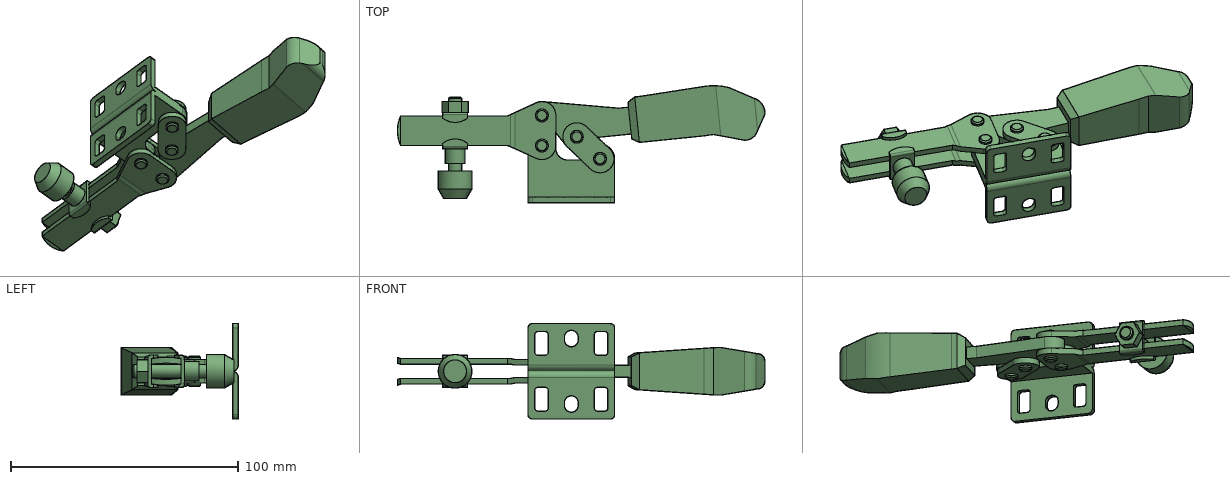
import cadquery as cq
import math


core_thickness = 5.3
core_half = core_thickness / 2
plate = 2.6
pin_diameter = 5.7
pin_radius = pin_diameter / 2
pin_end_height = 1.5
pin_chamfer = 0.6
eye_radius = 6.1
blank_depth = 16.2

arm_lower_pivot = (63.6, 25.2)
arm_upper_pivot = (63.6, 38.5)
link_upper_pivot = (79.0, 29.1)
link_lower_pivot = (89.2, 19.4)

base_left = 57.5
base_right = 95.6
foot_half_width = 21.0
foot_corner = 2.0
web_shoulder = 19.0
web_hollow_radius = 5.2
slot_width = 5.8
slot_length = 10.4
slot_corner = 1.3
slot_inset = 6.0
slot_offset = 12.3
hole_width = 6.0
hole_length = 7.1
hole_offset = 14.4

bar_bottom = 25.2
bar_top = 38.3
bar_end = 48.5
bar_gap_half = 3.0
lip_length = 1.5
lip_flare = 0.5
joggle_start = 49.8
joggle_end = 51.8

grip_origin = (102.3, 36.2)
grip_tilt = 5.8
lever_insertion = 13.0
neck_half_height = 6.0
neck_length = 4.4
lower_edge_length = 18.6
collar_length = 3.2
grip_crest = 39.2
grip_crest_half = 10.5
grip_length = 59.5
grip_front_half_height = 8.1
grip_rear_half_width = 4.2
grip_front_half_width = 6.3
collar_half_width = 8.1

spindle_x = 25.4
stud_diameter = 6.0
stud_radius = stud_diameter / 2
stud_top = 46.6
stud_chamfer = 0.6
nut_flats = 10.0
nut_height = 4.9
sleeve_radius = 4.4
sleeve_length = 6.5
cap_radius = 7.5
cap_tip_radius = 5.0
cap_top = 14.0
cap_shoulder = 6.1
cap_bottom = 2.0
washer_thickness = 1.5
washer_half_width = 5.5
lug_straight = 1.0
lug_depth = 2.9
lug_bend_radius = 1.0


def disc(center, radius, half_height):
    """Upright cylinder, centred on the middle plane."""
    return cq.Workplane("XY").center(*center).circle(radius).extrude(half_height, both=True)


def pin(center, plate_face):
    """Pin through the clamp with a chamfered end outside each plate."""
    return disc(center, pin_radius, plate_face + pin_end_height).faces("<Z or >Z").chamfer(pin_chamfer)


def polar(center, radius, angle):
    """Point at an angle in degrees on a circle."""
    return (
        center[0] + radius * math.cos(math.radians(angle)),
        center[1] + radius * math.sin(math.radians(angle)),
    )


def tangent_angle(point, center, radius, side):
    """Angle on a circle where the tangent from an outside point touches it."""
    dx = point[0] - center[0]
    dy = point[1] - center[1]
    spread = math.acos(radius / math.hypot(dx, dy))
    return math.degrees(math.atan2(dy, dx) + side * spread)



def make_web():
    hollow_x = arm_lower_pivot[0] + eye_radius
    web = (
        cq.Workplane("XY")
        .moveTo(base_left, 0)
        .lineTo(base_right, 0)
        .lineTo(base_right, link_lower_pivot[1])
        .lineTo(link_lower_pivot[0], web_shoulder)
        .lineTo(hollow_x + web_hollow_radius, web_shoulder)
        .radiusArc((hollow_x, web_shoulder + web_hollow_radius), web_hollow_radius)
        .lineTo(hollow_x, arm_lower_pivot[1])
        .lineTo(base_left, arm_lower_pivot[1])
        .close()
        .extrude(core_half, both=True)
    )
    link_eye_radius = base_right - link_lower_pivot[0]
    web = web.union(disc(arm_lower_pivot, eye_radius, core_half))
    return web.union(disc(link_lower_pivot, link_eye_radius, core_half))


def make_foot():
    length = base_right - base_left
    middle_x = (base_left + base_right) / 2
    slot_span = length / 2 - slot_inset
    foot = cq.Workplane("XY").box(length, plate, 2 * foot_half_width, centered=(True, False, True))
    foot = foot.edges("|Y").fillet(foot_corner)
    slot = cq.Workplane("XY").box(slot_width, 4 * plate, slot_length).edges("|Y").fillet(slot_corner)
    hole = cq.Workplane("XZ").slot2D(hole_length, hole_width, 90).extrude(2 * plate, both=True)
    for side in (-1, 1):
        foot = foot.cut(hole.translate((0, 0, side * hole_offset)))
        for end in (-1, 1):
            foot = foot.cut(slot.translate((end * slot_span, 0, side * slot_offset)))
    return foot.translate((middle_x, 0, 0))


def make_bend_groove():
    """Cusp left between the two outer bend curves under the web."""
    return (
        cq.Workplane("YZ")
        .moveTo(0, -core_half)
        .radiusArc((core_half, 0), core_half)
        .radiusArc((0, core_half), core_half)
        .close()
        .extrude(base_right - base_left)
        .translate((base_left, 0, 0))
    )


def make_base():
    base = make_web().union(make_foot()).cut(make_bend_groove())
    for pivot in (arm_lower_pivot, link_lower_pivot):
        base = base.cut(disc(pivot, pin_radius, core_half))
    return base



def make_arm():
    rounding_angle = 60
    bar_middle = (bar_bottom + bar_top) / 2
    head_right = arm_upper_pivot[0] + eye_radius
    lower_corner = (bar_end, bar_bottom)
    upper_corner = (bar_end, bar_top)
    lower_angle = tangent_angle(lower_corner, arm_lower_pivot, eye_radius, 1)
    upper_angle = tangent_angle(upper_corner, arm_upper_pivot, eye_radius, -1)
    outline = (
        cq.Workplane("XY")
        .moveTo(lip_length, bar_bottom)
        .lineTo(*lower_corner)
        .lineTo(*polar(arm_lower_pivot, eye_radius, lower_angle))
        .threePointArc(
            polar(arm_lower_pivot, eye_radius, -rounding_angle),
            (head_right, arm_lower_pivot[1]),
        )
        .lineTo(head_right, arm_upper_pivot[1])
        .threePointArc(
            polar(arm_upper_pivot, eye_radius, rounding_angle),
            polar(arm_upper_pivot, eye_radius, upper_angle),
        )
        .lineTo(*upper_corner)
        .lineTo(lip_length, bar_top)
        .threePointArc((0, bar_middle), (lip_length, bar_bottom))
        .close()
        .extrude(blank_depth)
    )
    inner_face = [
        (0, bar_gap_half + lip_flare),
        (lip_length, bar_gap_half),
        (joggle_start, bar_gap_half),
        (joggle_end, core_half),
        (head_right, core_half),
    ]
    outer_face = [(x, z + plate) for x, z in reversed(inner_face)]
    bent_sheet = (
        cq.Workplane("XZ")
        .polyline(inner_face + outer_face)
        .close()
        .extrude(-2 * bar_top)
    )
    arm_plate = outline.intersect(bent_sheet)
    arm = arm_plate.union(arm_plate.mirror("XY"))
    for pivot in (arm_lower_pivot, arm_upper_pivot):
        arm = arm.union(pin(pivot, core_half + plate))
    return arm



def make_link():
    dx = link_lower_pivot[0] - link_upper_pivot[0]
    dy = link_lower_pivot[1] - link_upper_pivot[1]
    middle = (link_upper_pivot[0] + dx / 2, link_upper_pivot[1] + dy / 2)
    strap = (
        cq.Workplane("XY", origin=(*middle, core_half))
        .slot2D(math.hypot(dx, dy) + 2 * eye_radius, 2 * eye_radius, math.degrees(math.atan2(dy, dx)))
        .extrude(plate)
    )
    link = strap.union(strap.mirror("XY"))
    for pivot in (link_upper_pivot, link_lower_pivot):
        link = link.union(pin(pivot, core_half + plate))
    return link



def on_grip(body):
    """Move a shape from the grip's own axes to its tilted place on the clamp."""
    turned = body.rotate((0, 0, 0), (0, 0, 1), grip_tilt)
    return turned.translate((*grip_origin, 0))


def grip_point(along, across):
    """Clamp coordinates of a point given in the grip's own axes."""
    tilt = math.radians(grip_tilt)
    return (
        grip_origin[0] + along * math.cos(tilt) - across * math.sin(tilt),
        grip_origin[1] + along * math.sin(tilt) + across * math.cos(tilt),
    )


def make_lever():
    top_start = grip_point(-neck_length, neck_half_height)
    top_angle = tangent_angle(top_start, arm_upper_pivot, eye_radius, 1)
    cheek_angle = tangent_angle(arm_upper_pivot, link_upper_pivot, eye_radius, 1)
    lever = (
        cq.Workplane("XY")
        .moveTo(*arm_upper_pivot)
        .lineTo(*polar(arm_upper_pivot, eye_radius, top_angle))
        .lineTo(*top_start)
        .lineTo(*grip_point(lever_insertion, neck_half_height))
        .lineTo(*grip_point(lever_insertion, -neck_half_height))
        .lineTo(*grip_point(-lower_edge_length, -neck_half_height))
        .lineTo(*link_upper_pivot)
        .lineTo(*polar(link_upper_pivot, eye_radius, cheek_angle))
        .close()
        .extrude(core_half, both=True)
    )
    for pivot in (arm_upper_pivot, link_upper_pivot):
        lever = lever.union(disc(pivot, eye_radius, core_half))
    for pivot in (arm_upper_pivot, link_upper_pivot):
        lever = lever.cut(disc(pivot, pin_radius, core_half))
    return lever


def make_grip():
    side_outline = (
        cq.Workplane("XY")
        .moveTo(0, -grip_front_half_height)
        .lineTo(0, grip_front_half_height)
        .lineTo(collar_length, 10.2)
        .lineTo(5.8, 10.2)
        .lineTo(33.3, 11.7)
        .threePointArc((grip_crest, 11.5), (45.0, 10.0))
        .lineTo(55.2, 4.4)
        .threePointArc((58.7, 1.1), (grip_length, -3.0))
        .lineTo(54.7, -11.5)
        .threePointArc((52.5, -13.3), (49.4, -13.8))
        .lineTo(36.1, -9.9)
        .lineTo(31.7, -10.0)
        .lineTo(collar_length, -10.0)
        .close()
        .extrude(blank_depth, both=True)
    )
    plan_outline = (
        cq.Workplane("XZ")
        .moveTo(0, -grip_front_half_width)
        .lineTo(0, grip_front_half_width)
        .lineTo(collar_length, collar_half_width)
        .lineTo(grip_crest, grip_crest_half)
        .lineTo(55.5, 7.8)
        .threePointArc((58.5, 6.5), (grip_length, grip_rear_half_width))
        .lineTo(grip_length, -grip_rear_half_width)
        .threePointArc((58.5, -6.5), (55.5, -7.8))
        .lineTo(grip_crest, -grip_crest_half)
        .lineTo(collar_length, -collar_half_width)
        .close()
        .extrude(blank_depth, both=True)
    )
    return on_grip(side_outline.intersect(plan_outline))


def make_handle():
    return make_lever().union(make_grip())



def make_washer(bar_edge, outward):
    """Washer on one edge of the bars, with a lug over the face of each bar."""
    lug_inner = bar_gap_half + plate
    lug_outer = lug_inner + washer_thickness
    plate_block = (
        cq.Workplane("XY")
        .box(2 * washer_half_width, washer_thickness, 2 * lug_outer, centered=(True, False, True))
    )
    lug_tab = (
        cq.Workplane("XY")
        .moveTo(-washer_half_width, 0)
        .lineTo(-washer_half_width, -lug_straight)
        .threePointArc((0, -lug_depth), (washer_half_width, -lug_straight))
        .lineTo(washer_half_width, 0)
        .close()
        .extrude(washer_thickness)
        .translate((0, 0, lug_inner))
    )
    washer = plate_block.union(lug_tab).union(lug_tab.mirror("XY"))
    washer = washer.edges("|X and >Y").fillet(lug_bend_radius)
    washer = washer.cut(cq.Workplane("XZ").circle(stud_radius).extrude(2 * washer_thickness, both=True))
    if outward < 0:
        washer = washer.mirror("XZ")
    return washer.translate((spindle_x, bar_edge, 0))



def upright_cylinder(radius, bottom, top):
    return cq.Workplane("XZ").circle(radius).extrude(bottom - top).translate((0, bottom, 0))


def make_spindle():
    nut_seat = bar_top + washer_thickness
    sleeve_top = bar_bottom - washer_thickness
    spindle = upright_cylinder(stud_radius, cap_shoulder, stud_top).faces(">Y").chamfer(stud_chamfer)
    nut = (
        cq.Workplane("XZ")
        .polygon(6, nut_flats / math.cos(math.radians(30)))
        .extrude(-nut_height)
        .translate((0, nut_seat, 0))
    )
    cap = (
        cq.Workplane("XY")
        .moveTo(0, cap_bottom)
        .lineTo(cap_tip_radius, cap_bottom)
        .lineTo(cap_radius, cap_shoulder)
        .lineTo(cap_radius, cap_top)
        .lineTo(0, cap_top)
        .close()
        .revolve(360, (0, 0, 0), (0, 1, 0))
    )
    sleeve = upright_cylinder(sleeve_radius, sleeve_top - sleeve_length, sleeve_top)
    spindle = spindle.union(nut).union(sleeve).union(cap)
    return spindle.translate((spindle_x, 0, 0))


base = make_base()
arm = make_arm()
link = make_link()
handle = make_handle()
spindle = make_spindle()
washers = [
    make_washer(bar_edge, outward)
    for bar_edge, outward in ((bar_top, 1), (bar_bottom, -1))
]

result = cq.Compound.makeCompound([
    base.val(),
    arm.val(),
    link.val(),
    handle.val(),
    spindle.val(),
    *[washer.val() for washer in washers],
])